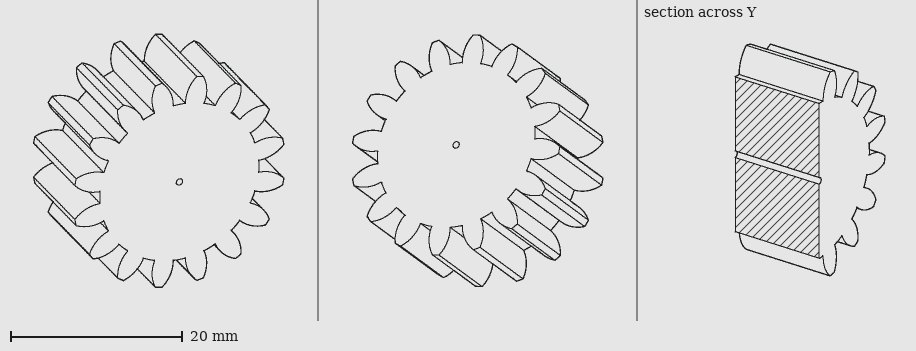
import cadquery as cq
import math

OVERALL_SIZE = 26.6
FACE_WIDTH = 12.0
BORE_DIAMETER = 0.8
TOOTH_COUNT = 16
PRESSURE_ANGLE = math.radians(22.5)
ADDENDUM_FACTOR = 1.0
DEDENDUM_FACTOR = 1.25

TOOTH_PITCH = 2 * math.pi / TOOTH_COUNT


def involute_angle(pressure_angle):
    """Polar angle swept by an involute from its base circle."""
    return math.tan(pressure_angle) - pressure_angle


base_half_angle = TOOTH_PITCH / 4 + involute_angle(PRESSURE_ANGLE)
tip_ratio = 1 + 2 * ADDENDUM_FACTOR / TOOTH_COUNT
tip_pressure_angle = math.acos(math.cos(PRESSURE_ANGLE) / tip_ratio)
tip_half_angle = base_half_angle - involute_angle(tip_pressure_angle)

tip_radius = OVERALL_SIZE / 2 / math.cos(TOOTH_PITCH / 2 - tip_half_angle)
pitch_radius = tip_radius / tip_ratio
module = 2 * pitch_radius / TOOTH_COUNT
root_radius = pitch_radius - DEDENDUM_FACTOR * module


def polar(radius, angle):
    return (radius * math.cos(angle), radius * math.sin(angle))


def gear_outline():
    first_center = TOOTH_PITCH / 2
    outline = cq.Workplane("YZ").moveTo(*polar(root_radius, first_center - base_half_angle))
    for tooth in range(TOOTH_COUNT):
        center = first_center + tooth * TOOTH_PITCH
        next_root = polar(root_radius, center + TOOTH_PITCH - base_half_angle)
        outline = (
            outline.threePointArc(
                polar(pitch_radius, center - TOOTH_PITCH / 4),
                polar(tip_radius, center - tip_half_angle),
            )
            .threePointArc(
                polar(tip_radius, center),
                polar(tip_radius, center + tip_half_angle),
            )
            .threePointArc(
                polar(pitch_radius, center + TOOTH_PITCH / 4),
                polar(root_radius, center + base_half_angle),
            )
            .threePointArc(polar(root_radius, center + TOOTH_PITCH / 2), next_root)
        )
    return outline.close()


gear = gear_outline().extrude(FACE_WIDTH)
bore = cq.Workplane("YZ").circle(BORE_DIAMETER / 2).extrude(FACE_WIDTH)
result = gear.cut(bore).translate((-FACE_WIDTH / 2, 0, 0))